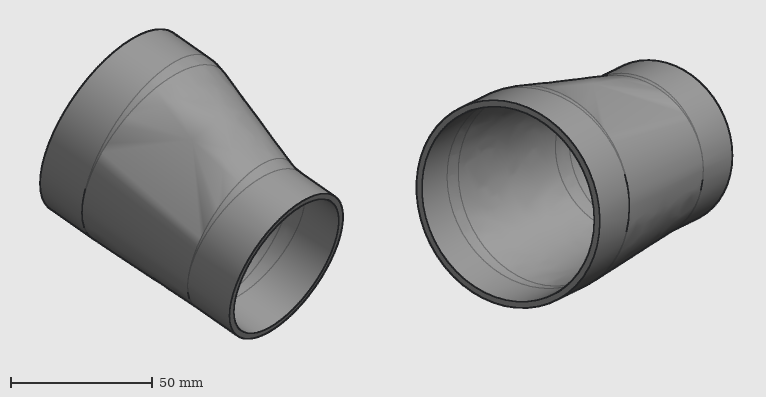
import cadquery as cq

length = 90.0
large_diameter = 76.1
small_diameter = 60.3
wall = 2.3
collar_length = 20.0
bend_radius = 22.5
flush_offset = 0.045

large_corner = collar_length
small_corner = length - collar_length
large_centre_y = 0.0
small_centre_y = (small_diameter - large_diameter) / 2 + flush_offset


def ring(x, centre_y, radius):
    """Circular wire across the X axis."""
    plane = cq.Plane(origin=(x, centre_y, 0), xDir=(0, -1, 0), normal=(1, 0, 0))
    return cq.Workplane(plane).circle(radius).wires().val()


def corner_edge(body, x):
    """Circular edge of the body that lies wholly at position x."""
    tolerance = 0.01
    for edge in body.Edges():
        box = edge.BoundingBox()
        if abs(box.xmin - x) < tolerance and abs(box.xmax - x) < tolerance:
            return edge
    raise ValueError("no corner edge at this position")


def reducer_body(inset):
    """Solid reducer with its skin moved inward by the inset."""
    large_radius = large_diameter / 2 - inset
    small_radius = small_diameter / 2 - inset
    rings = [
        ring(0, large_centre_y, large_radius),
        ring(large_corner, large_centre_y, large_radius),
        ring(small_corner, small_centre_y, small_radius),
        ring(length, small_centre_y, small_radius),
    ]
    body = cq.Solid.makeLoft(rings, True)
    body = body.fillet(bend_radius - inset, [corner_edge(body, large_corner)])
    return body.fillet(bend_radius + inset, [corner_edge(body, small_corner)])


outer_body = reducer_body(0)
bore = reducer_body(wall)
result = cq.Workplane(outer_body).cut(cq.Workplane(bore))